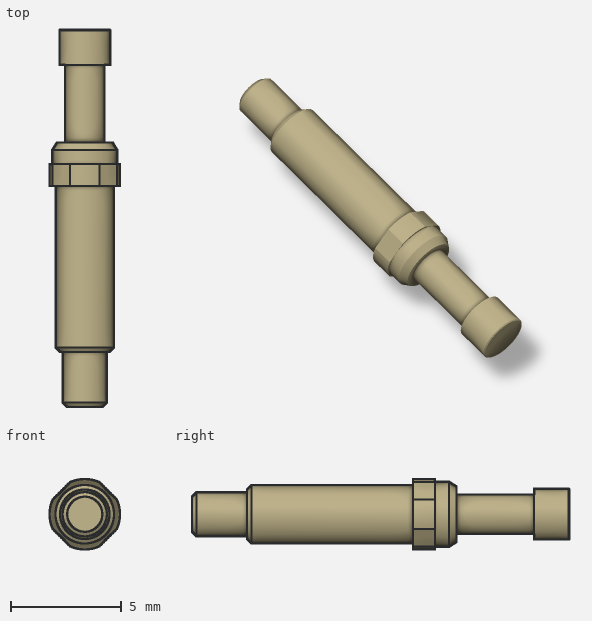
import cadquery as cq

LENGTH = 17.1

PIN_DIAMETER = 2.0
BARREL_DIAMETER = 2.65
COLLAR_DIAMETER = 3.2
SHOULDER_DIAMETER = 2.95
PLUNGER_DIAMETER = 1.8
HEAD_DIAMETER = 2.3

PIN_LENGTH = 2.5
BARREL_LENGTH = 7.5
COLLAR_LENGTH = 1.0
SHOULDER_LENGTH = 1.0
HEAD_LENGTH = 1.6
PLUNGER_LENGTH = LENGTH - PIN_LENGTH - BARREL_LENGTH - COLLAR_LENGTH - SHOULDER_LENGTH - HEAD_LENGTH

PIN_CHAMFER = 0.2
BARREL_CHAMFER = 0.2
SHOULDER_TAPER_LENGTH = 0.36
SHOULDER_TAPER_DEPTH = 0.22
HEAD_CHAMFER = 0.05

ACROSS_FLATS = 3.0
FLATS_ANGLE = 45

PIN_START = -LENGTH / 2
BARREL_START = PIN_START + PIN_LENGTH
COLLAR_START = BARREL_START + BARREL_LENGTH
SHOULDER_START = COLLAR_START + COLLAR_LENGTH
PLUNGER_START = SHOULDER_START + SHOULDER_LENGTH
HEAD_START = PLUNGER_START + PLUNGER_LENGTH


def section_plane(start):
    """Sketch plane at the given Y, with its normal pointing to +Y."""
    return cq.Workplane(cq.Plane(origin=(0, start, 0), xDir=(1, 0, 0), normal=(0, 1, 0)))


def cylinder(diameter, start, length):
    """Cylinder on the Y axis, growing towards +Y."""
    return section_plane(start).circle(diameter / 2).extrude(length)


def make_collar():
    """Round collar cut by four flats that leave rounded corners on the X and Z axes."""
    square = (
        section_plane(COLLAR_START)
        .transformed(rotate=(0, 0, FLATS_ANGLE))
        .rect(ACROSS_FLATS, ACROSS_FLATS)
        .extrude(COLLAR_LENGTH)
    )
    return cylinder(COLLAR_DIAMETER, COLLAR_START, COLLAR_LENGTH).intersect(square)


def make_shoulder():
    """Short cylinder that tapers in at its plunger end."""
    straight_length = SHOULDER_LENGTH - SHOULDER_TAPER_LENGTH
    radius = SHOULDER_DIAMETER / 2
    return (
        cq.Workplane("XY")
        .moveTo(0, SHOULDER_START)
        .lineTo(radius, SHOULDER_START)
        .lineTo(radius, SHOULDER_START + straight_length)
        .lineTo(radius - SHOULDER_TAPER_DEPTH, PLUNGER_START)
        .lineTo(0, PLUNGER_START)
        .close()
        .revolve(360, (0, 0, 0), (0, 1, 0))
    )


pin = cylinder(PIN_DIAMETER, PIN_START, PIN_LENGTH).faces("<Y").chamfer(PIN_CHAMFER)
barrel = cylinder(BARREL_DIAMETER, BARREL_START, BARREL_LENGTH).faces("<Y").chamfer(BARREL_CHAMFER)
plunger = cylinder(PLUNGER_DIAMETER, PLUNGER_START, PLUNGER_LENGTH)
head = cylinder(HEAD_DIAMETER, HEAD_START, HEAD_LENGTH).faces(">Y").chamfer(HEAD_CHAMFER)

result = pin
for section in (barrel, make_collar(), make_shoulder(), plunger, head):
    result = result.union(section)